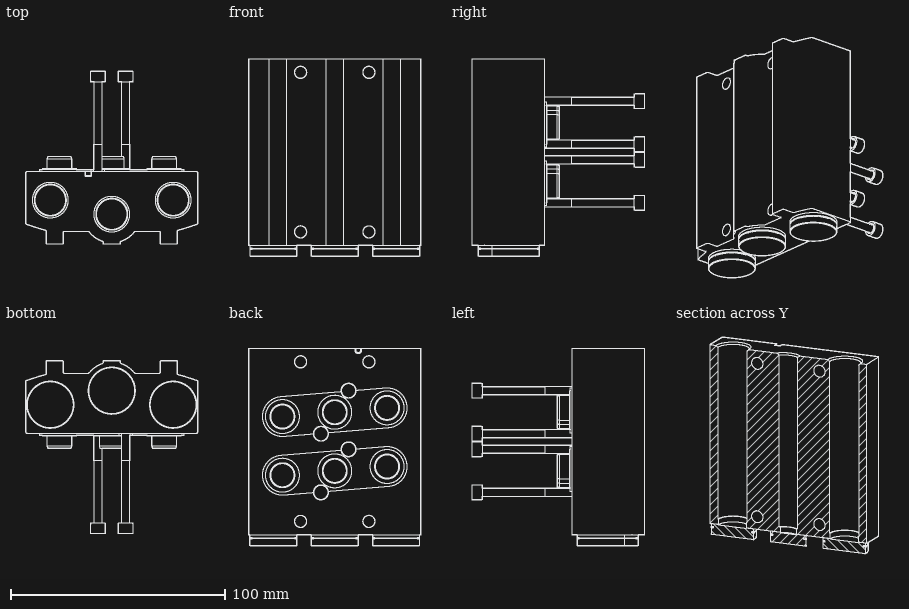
import cadquery as cq
import math


TOTAL_HEIGHT = 92.2
TOTAL_DEPTH = 80.8
PLUG_HEIGHT = 5.2
BLOCK_WIDTH = 80.5
BLOCK_DEPTH = 34.0
BLOCK_HEIGHT = TOTAL_HEIGHT - PLUG_HEIGHT
BACK_Y = BLOCK_DEPTH
HALF_WIDTH = BLOCK_WIDTH / 2

FOOT_OUTER_X = 30.6
FOOT_INNER_X = 22.6
FOOT_ROOT_Y = 6.4
SHOULDER_Y = 9.4
SHOULDER_BULGE = 0.14
RECESS_Y = 5.9
BARREL_RADIUS = 13.5
PAD_HALF_WIDTH = 4.1
EDGE_FILLET = 0.4
INNER_TOE_FILLET = 0.6
BARREL_ROOT_FILLET = 0.7
SHOULDER_FILLET = 0.6
BACK_FILLET = 1.0

OUTER_BORE_X = 28.7
OUTER_BORE_Y = 20.6
MIDDLE_BORE_Y = 14.0
BORE_CENTRES = [(-OUTER_BORE_X, OUTER_BORE_Y), (0, MIDDLE_BORE_Y), (OUTER_BORE_X, OUTER_BORE_Y)]
BORE_DIAMETER = 14.9
BORE_MOUTH_DIAMETER = 16.7
BORE_END_DIAMETER = 14.3
BORE_END_HEIGHT = 2.8

BARREL_START_Y = MIDDLE_BORE_Y - math.sqrt(BARREL_RADIUS**2 - PAD_HALF_WIDTH**2)
BARREL_END_X = math.sqrt(BARREL_RADIUS**2 - (MIDDLE_BORE_Y - RECESS_Y) ** 2)

CROSS_HOLE_DIAMETER = 5.5
CROSS_HOLE_X = 15.95
CROSS_HOLE_EDGE = 6.3
LOCATING_DIAMETER = 3.2
LOCATING_X = -11.0
LOCATING_DROP = 0.8
LOCATING_DEPTH = 2.5
LOCATING_CHAMFER = 0.5

PLUG_DIAMETER = 22.0
PLUG_CHAMFER = 0.3
GROOVE_DIAMETER = 19.8
GROOVE_TOP = 1.4
GROOVE_HEIGHT = 0.4

SET_HEIGHTS = [35.0, 62.4]
GASKET_RADIUS = 9.3
GASKET_THICKNESS = 0.8
STUD_SPACING_X = 24.4
STUD_STEP_Z = 2.0
STUD_DIAMETER = 11.6
STUD_HEIGHT = 6.9
STUD_CHAMFER_LENGTH = 1.1
STUD_CHAMFER_WIDTH = 0.4
COLLAR_DIAMETER = 15.9
COLLAR_HEIGHT = 1.2
SCREW_NOTCH_DIAMETER = 6.3

SCREW_X = 6.5
SCREW_Z = 10.05
SCREW_LENGTH = TOTAL_DEPTH - BLOCK_DEPTH
HEAD_DIAMETER = 7.0
HEAD_HEIGHT = 5.0
HEAD_CHAMFER = 0.2
UNDERSIDE_CHAMFER_LENGTH = 0.7
UNDERSIDE_CHAMFER_WIDTH = 0.1
RELIEF_DIAMETER = 4.8
RELIEF_DEPTH = 0.7
SHANK_DIAMETER = 3.9
THREAD_DIAMETER = 4.0
THREAD_LENGTH = 12.5


def back_plane(x, z):
    """Sketch plane on the back face of the block, with its normal along +Y."""
    return cq.Workplane(cq.Plane(origin=(x, BACK_Y, z), xDir=(1, 0, 0), normal=(0, 1, 0)))


def half_profile():
    """Closed outline of the +X half of the block, from its middle plane outwards."""
    middle_angle = (
        math.atan2(BARREL_START_Y - MIDDLE_BORE_Y, PAD_HALF_WIDTH)
        + math.atan2(RECESS_Y - MIDDLE_BORE_Y, BARREL_END_X)
    ) / 2
    barrel_middle = (
        BARREL_RADIUS * math.cos(middle_angle),
        MIDDLE_BORE_Y + BARREL_RADIUS * math.sin(middle_angle),
    )
    shoulder_middle = (
        (FOOT_OUTER_X + HALF_WIDTH) / 2,
        (FOOT_ROOT_Y + SHOULDER_Y) / 2 - SHOULDER_BULGE,
    )
    return (
        cq.Workplane("XY")
        .workplane(offset=PLUG_HEIGHT)
        .moveTo(0, 0)
        .lineTo(PAD_HALF_WIDTH, 0)
        .lineTo(PAD_HALF_WIDTH, BARREL_START_Y)
        .threePointArc(barrel_middle, (BARREL_END_X, RECESS_Y))
        .lineTo(FOOT_INNER_X, RECESS_Y)
        .lineTo(FOOT_INNER_X, 0)
        .lineTo(FOOT_OUTER_X, 0)
        .lineTo(FOOT_OUTER_X, FOOT_ROOT_Y)
        .threePointArc(shoulder_middle, (HALF_WIDTH, SHOULDER_Y))
        .lineTo(HALF_WIDTH, BACK_Y)
        .lineTo(0, BACK_Y)
        .close()
    )


def upright_edges_at(block, points):
    """The vertical edges of the block that stand on the given points and their mirror images."""
    middle_z = PLUG_HEIGHT + BLOCK_HEIGHT / 2
    edges = block.newObject([])
    for x, y in points:
        for side in (-1, 1):
            nearest = cq.selectors.NearestToPointSelector((side * x, y, middle_z))
            edges = edges.add(block.edges("|Z").edges(nearest))
    return edges


def make_block():
    half = half_profile().extrude(BLOCK_HEIGHT)
    block = half.union(half.mirror("YZ"))

    small_corners = [
        (PAD_HALF_WIDTH, 0),
        (PAD_HALF_WIDTH, BARREL_START_Y),
        (FOOT_INNER_X, RECESS_Y),
        (FOOT_OUTER_X, 0),
        (FOOT_OUTER_X, FOOT_ROOT_Y),
    ]
    block = upright_edges_at(block, small_corners).fillet(EDGE_FILLET)
    block = upright_edges_at(block, [(FOOT_INNER_X, 0)]).fillet(INNER_TOE_FILLET)
    block = upright_edges_at(block, [(BARREL_END_X, RECESS_Y)]).fillet(BARREL_ROOT_FILLET)
    block = upright_edges_at(block, [(HALF_WIDTH, SHOULDER_Y)]).fillet(SHOULDER_FILLET)
    block = upright_edges_at(block, [(HALF_WIDTH, BACK_Y)]).fillet(BACK_FILLET)

    for x, y in BORE_CENTRES:
        block = block.cut(bore_cutter().translate((x, y, 0)))
    return block.cut(cross_holes()).cut(locating_hole())


def bore_cutter():
    """Bore with a countersunk mouth at the top and a slightly narrower end above the plug."""
    bore_radius = BORE_DIAMETER / 2
    mouth_radius = BORE_MOUTH_DIAMETER / 2
    end_radius = BORE_END_DIAMETER / 2
    end_top = PLUG_HEIGHT + BORE_END_HEIGHT
    return (
        cq.Workplane("XZ")
        .moveTo(0, PLUG_HEIGHT)
        .lineTo(end_radius, PLUG_HEIGHT)
        .lineTo(end_radius, end_top)
        .lineTo(bore_radius, end_top)
        .lineTo(bore_radius, TOTAL_HEIGHT - (mouth_radius - bore_radius))
        .lineTo(mouth_radius, TOTAL_HEIGHT)
        .lineTo(0, TOTAL_HEIGHT)
        .close()
        .revolve(360, (0, 0, 0), (0, 1, 0))
    )


def cross_holes():
    low = PLUG_HEIGHT + CROSS_HOLE_EDGE
    high = TOTAL_HEIGHT - CROSS_HOLE_EDGE
    centres = [(x, z) for x in (-CROSS_HOLE_X, CROSS_HOLE_X) for z in (low, high)]
    return cq.Workplane("XZ").pushPoints(centres).circle(CROSS_HOLE_DIAMETER / 2).extrude(-BLOCK_DEPTH)


def locating_hole():
    """Blind hole in the back face that breaks through the top face."""
    return (
        back_plane(LOCATING_X, TOTAL_HEIGHT - LOCATING_DROP)
        .circle(LOCATING_DIAMETER / 2)
        .extrude(-LOCATING_DEPTH)
        .faces("<Y")
        .chamfer(LOCATING_CHAMFER)
    )


def make_plug(x, y):
    """Round plug below one bore, with a narrow groove around it."""
    groove_bottom = PLUG_HEIGHT - GROOVE_TOP - GROOVE_HEIGHT
    plug = cq.Workplane("XY").circle(PLUG_DIAMETER / 2).extrude(PLUG_HEIGHT)
    plug = plug.faces("<Z").chamfer(PLUG_CHAMFER)
    groove = (
        cq.Workplane("XY")
        .workplane(offset=groove_bottom)
        .circle(PLUG_DIAMETER / 2)
        .circle(GROOVE_DIAMETER / 2)
        .extrude(GROOVE_HEIGHT)
    )
    return plug.cut(groove).translate((x, y, 0))


def screw_centres(height):
    """The two screws of a set stand diagonally about its middle."""
    return [(-SCREW_X, height + SCREW_Z), (SCREW_X, height - SCREW_Z)]


def make_gasket(height):
    """Long sloping plate with three collared studs and a notch for each screw."""
    slope = math.degrees(math.atan2(STUD_STEP_Z, STUD_SPACING_X))
    length = 2 * math.hypot(STUD_SPACING_X, STUD_STEP_Z) + 2 * GASKET_RADIUS
    gasket = back_plane(0, height).slot2D(length, 2 * GASKET_RADIUS, slope).extrude(GASKET_THICKNESS)
    for x, z in screw_centres(height):
        gasket = gasket.cut(back_plane(x, z).circle(SCREW_NOTCH_DIAMETER / 2).extrude(GASKET_THICKNESS))
    for place in (-1, 0, 1):
        stud = make_stud(place * STUD_SPACING_X, height - place * STUD_STEP_Z)
        gasket = gasket.union(stud)
    return gasket


def make_stud(x, z):
    stud = (
        back_plane(x, z)
        .circle(STUD_DIAMETER / 2)
        .extrude(STUD_HEIGHT)
        .faces(">Y")
        .chamfer(STUD_CHAMFER_LENGTH, STUD_CHAMFER_WIDTH)
    )
    collar = back_plane(x, z).circle(COLLAR_DIAMETER / 2).extrude(COLLAR_HEIGHT)
    return stud.union(collar)


def make_screw(x, z):
    """Screw standing on the back face, thread end on the block and head outwards."""
    thread = back_plane(x, z).circle(THREAD_DIAMETER / 2).extrude(THREAD_LENGTH)
    shank = back_plane(x, z).circle(SHANK_DIAMETER / 2).extrude(SCREW_LENGTH - HEAD_HEIGHT)
    head = (
        back_plane(x, z)
        .workplane(offset=SCREW_LENGTH - HEAD_HEIGHT)
        .circle(HEAD_DIAMETER / 2)
        .extrude(HEAD_HEIGHT)
        .faces(">Y")
        .chamfer(HEAD_CHAMFER)
        .faces("<Y")
        .chamfer(UNDERSIDE_CHAMFER_LENGTH, UNDERSIDE_CHAMFER_WIDTH)
    )
    relief = (
        back_plane(x, z)
        .workplane(offset=SCREW_LENGTH - HEAD_HEIGHT)
        .circle(RELIEF_DIAMETER / 2)
        .circle(SHANK_DIAMETER / 2)
        .extrude(RELIEF_DEPTH)
    )
    return thread.union(shank).union(head.cut(relief))


block = make_block()
plugs = [make_plug(x, y) for x, y in BORE_CENTRES]
gaskets = [make_gasket(height) for height in SET_HEIGHTS]
screws = [make_screw(x, z) for height in SET_HEIGHTS for x, z in screw_centres(height)]

result = cq.Compound.makeCompound([body.val() for body in [block, *plugs, *gaskets, *screws]])